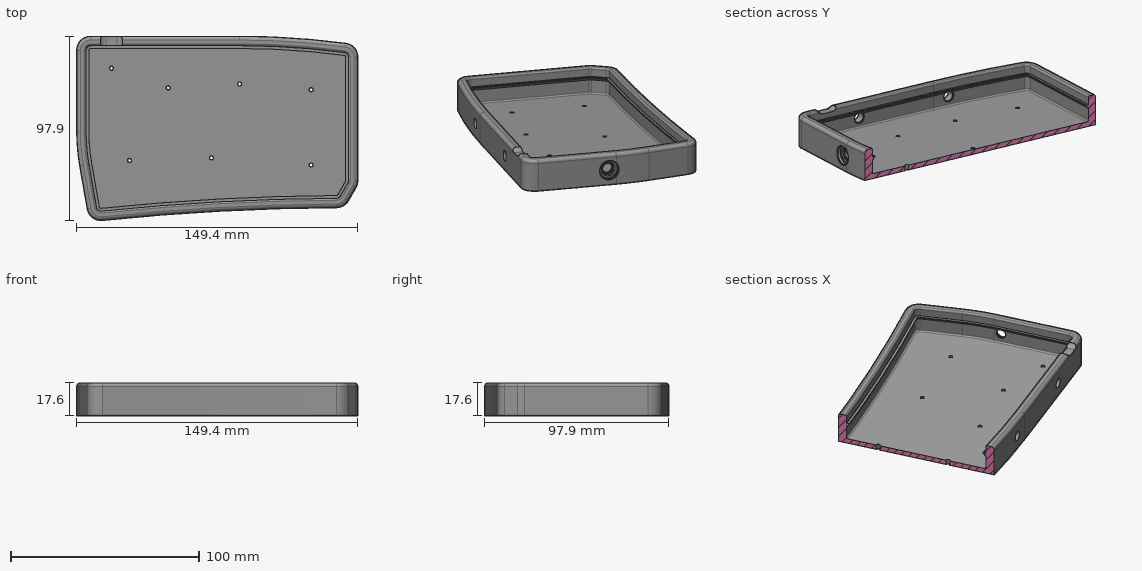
import math

import cadquery as cq

length = 149.4
width = 97.9
height = 17.6

corner_radius = 7.5
back_straight_end = 86.5
back_right_y = -4.6
bevel_start_y = -78.7
bevel_end_y = -91.1
bevel_angle = 30.0
front_slope = 6.25
left_straight_end = -50.6
left_curve_end = -69.0
left_slope = 10.0

wall = 5.0
floor_thickness = 3.0
rim_outer_fillet = 2.0
rim_inner_fillet = 1.0
bottom_fillet = 0.5
floor_fillet = 0.8

ledge_width = 1.5
ledge_top = 12.6
ledge_lip = 0.5
underside_angle = 45.0
ledge_lip_bottom = ledge_top - ledge_lip
ledge_root = ledge_lip_bottom - ledge_width / math.tan(math.radians(underside_angle))

screw_hole_diameter = 2.0
screw_hole_points = [
    (18.5, -17.0),
    (48.6, -27.4),
    (86.6, -25.4),
    (124.6, -28.4),
    (28.1, -66.0),
    (71.6, -64.6),
    (124.6, -68.4),
]

opening_z = 8.4
edge_break = 0.4
back_hole_diameter = 5.6
back_hole_x = (38.9, 96.2)
left_hole_y = -46.6
left_hole_diameter = 5.4
left_recess_diameter = 6.4
left_recess_depth = 3.4
left_recess_chamfer = 0.6
left_counterbore_diameter = 10.0
left_counterbore_depth = 2.0
wall_clearance = 1.0

notch_x = 18.5
notch_depth = 2.0
notch_side_radius = 3.2
notch_flat = 5.8


def front_left_corner(left_end):
    """Sharp front-left corner, placed so that its rounding touches the full width."""
    slope = math.radians(left_slope)
    turn = math.radians(90 - left_slope + front_slope)
    setback = corner_radius * math.tan(turn / 2)
    rounding_start_y = corner_radius * (1 - math.sin(slope)) - width
    corner_y = rounding_start_y - setback * math.cos(slope)
    return (left_end[0] + (left_end[1] - corner_y) * math.tan(slope), corner_y)


def line(start, end):
    return cq.Edge.makeLine(cq.Vector(*start), cq.Vector(*end))


def arc_along(start, direction, end):
    """Arc that leaves start in the given direction and ends at end."""
    return cq.Edge.makeTangentArc(cq.Vector(*start), cq.Vector(*direction), cq.Vector(*end))


def outline_wire():
    """Closed outline at Z = 0 with its five corners rounded."""
    bevel_run = (bevel_start_y - bevel_end_y) * math.tan(math.radians(bevel_angle))
    slope = math.radians(left_slope)
    left_radius = (left_straight_end - left_curve_end) / math.sin(slope)

    back_left = (0, 0)
    back_bend = (back_straight_end, 0)
    back_right = (length, back_right_y)
    bevel_start = (length, bevel_start_y)
    bevel_end = (length - bevel_run, bevel_end_y)
    left_end = (left_radius * (1 - math.cos(slope)), left_curve_end)
    front_left = front_left_corner(left_end)
    left_start = (0, left_straight_end)
    front_angle = math.radians(front_slope)
    front_direction = (math.cos(front_angle), math.sin(front_angle))

    sharp = cq.Wire.assembleEdges([
        line(back_left, back_bend),
        arc_along(back_bend, (1, 0), back_right),
        line(back_right, bevel_start),
        line(bevel_start, bevel_end),
        arc_along(front_left, front_direction, bevel_end),
        line(front_left, left_end),
        arc_along(left_start, (0, -1), left_end),
        line(left_start, back_left),
    ])
    sharp_corners = [back_left, back_right, bevel_start, bevel_end, front_left]
    matching_distance = 0.01
    face = cq.Face.makeFromWires(sharp)
    corner_vertices = [
        vertex
        for vertex in face.Vertices()
        if any(math.dist((vertex.X, vertex.Y), corner) < matching_distance for corner in sharp_corners)
    ]
    return face.fillet2D(corner_radius, corner_vertices).outerWire()


def inset_prism(outline, inset, bottom, top, taper=0):
    """Prism from bottom to top whose base lies inside the outline by the inset."""
    base = outline.offset2D(-inset)[0].moved(cq.Location(cq.Vector(0, 0, bottom)))
    return cq.Workplane("XY").add(base).toPending().extrude(top - bottom, taper=taper)


def make_body(outline):
    """Solid block with its outer top and bottom edges rounded."""
    body = cq.Workplane("XY").add(outline).toPending().extrude(height)
    body = body.faces(">Z").edges().fillet(rim_outer_fillet)
    return body.faces("<Z").edges().fillet(bottom_fillet)


def make_cavity(outline):
    """Space inside the wall, narrowed by the ledge."""
    below = inset_prism(outline, wall, floor_thickness, ledge_root)
    below = below.faces("<Z").edges().fillet(floor_fillet)
    underside = inset_prism(outline, wall, ledge_root, ledge_lip_bottom, taper=underside_angle)
    throat = inset_prism(outline, wall + ledge_width, ledge_lip_bottom, ledge_top)
    above = inset_prism(outline, wall, ledge_top, height)
    return below.union(underside).union(throat).union(above)


def round_inner_rim(body):
    inner_rim = body.faces(">Z").val().innerWires()[0]
    return body.newObject(inner_rim.Edges()).fillet(rim_inner_fillet)


def make_screw_holes():
    return (
        cq.Workplane("XY")
        .pushPoints(screw_hole_points)
        .circle(screw_hole_diameter / 2)
        .extrude(height)
    )


def turned_cutter(profile, origin, axis):
    """Turned solid through the (distance along the axis, radius) points of the profile."""
    first_distance = profile[0][0]
    last_distance = profile[-1][0]
    points = [(first_distance, 0)] + profile + [(last_distance, 0)]
    axis_plane = cq.Plane(origin=origin, xDir=axis, normal=(0, 0, 1))
    return cq.Workplane(axis_plane).polyline(points).close().revolve(360, (0, 0), (1, 0))


def make_back_hole(x):
    """Plain hole through the back wall with its inner edge chamfered."""
    radius = back_hole_diameter / 2
    profile = [
        (0, radius),
        (wall - edge_break, radius),
        (wall, radius + edge_break),
        (wall + wall_clearance, radius + edge_break),
    ]
    return turned_cutter(profile, (x, 0, opening_z), (0, -1, 0))


def make_left_opening():
    """Stepped opening through the left wall with its outer edges chamfered."""
    hole = left_hole_diameter / 2
    recess = left_recess_diameter / 2
    counterbore = left_counterbore_diameter / 2
    profile = [
        (0, counterbore + edge_break),
        (edge_break, counterbore),
        (left_counterbore_depth, counterbore),
        (left_counterbore_depth, recess + left_recess_chamfer),
        (left_counterbore_depth + left_recess_chamfer, recess),
        (left_recess_depth, recess),
        (left_recess_depth, hole),
        (wall + wall_clearance, hole),
    ]
    return turned_cutter(profile, (0, left_hole_y, opening_z), (1, 0, 0))


def make_notch():
    """Block with rounded lower edges that stands out above the rim."""
    block_width = notch_flat + 2 * notch_side_radius
    block_height = 2 * notch_side_radius
    center_z = height - notch_depth + block_height / 2
    block = cq.Workplane("XY", origin=(notch_x, -wall / 2, center_z)).box(block_width, wall, block_height)
    return block.edges("|Y and <Z").fillet(notch_side_radius)


outline = outline_wire()
result = make_body(outline).cut(make_cavity(outline))
result = round_inner_rim(result)
cutters = [make_screw_holes(), make_left_opening(), make_notch()]
cutters += [make_back_hole(x) for x in back_hole_x]
for cutter in cutters:
    result = result.cut(cutter)